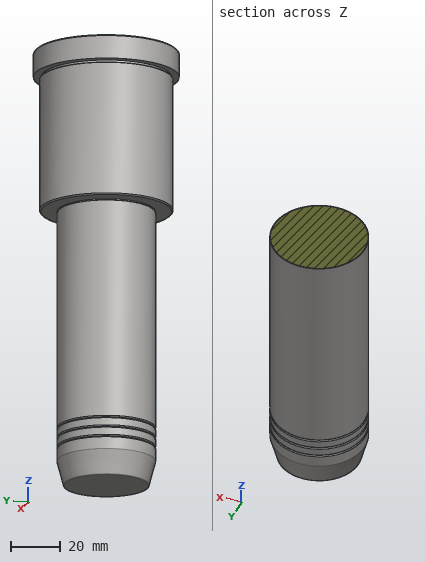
import cadquery as cq
import math

total_length = 181.0
head_radius = 29.5
head_height = 10.0
head_chamfer = 0.5

body_radius = 27.0
body_bottom = 114.8
body_chamfer = 0.5
undercut_width = 1.0
undercut_depth = 0.5

shaft_diameter = 40.0
relief_width = 0.5
relief_depth = 0.2
taper_height = 10.1
taper_angle = 15.0
tip_fillet = 0.4

groove_count = 3
lowest_groove = 15.5
groove_pitch = 4.0
groove_width = 1.0
groove_depth = 0.4

shaft_radius = shaft_diameter / 2
head_bottom = total_length - head_height
tip_radius = shaft_radius - taper_height * math.tan(math.radians(taper_angle))


def cylinder(radius, bottom, top):
    """Solid cylinder on the Z axis between two heights."""
    return cq.Workplane("XY").workplane(offset=bottom).circle(radius).extrude(top - bottom)


def ring_groove(radius, depth, bottom, width):
    """Cutter for a V-shaped groove around a cylinder of the given radius."""
    profile = cq.Workplane("XZ").polyline([
        (radius, bottom),
        (radius - depth, bottom + width / 2),
        (radius, bottom + width),
    ])
    return profile.close().revolve(360, (0, 0, 0), (0, 1, 0))


head = cylinder(head_radius, head_bottom, total_length).faces(">Z").edges().chamfer(head_chamfer)

undercut_bottom = head_bottom - undercut_width
body = cylinder(body_radius, body_bottom, undercut_bottom).faces("<Z").edges().chamfer(body_chamfer)
body = body.union(cylinder(body_radius - undercut_depth, undercut_bottom, head_bottom))

relief_bottom = body_bottom - relief_width
relief = cylinder(shaft_radius - relief_depth, relief_bottom, body_bottom)
shaft = cylinder(shaft_radius, taper_height, relief_bottom).union(relief)
for index in range(groove_count):
    groove_middle = lowest_groove + index * groove_pitch
    groove_bottom = groove_middle - groove_width / 2
    shaft = shaft.cut(ring_groove(shaft_radius, groove_depth, groove_bottom, groove_width))

tip = cq.Workplane("XY").circle(tip_radius).workplane(offset=taper_height).circle(shaft_radius).loft()
tip = tip.faces("<Z").edges().fillet(tip_fillet)

result = head.union(body).union(shaft).union(tip)